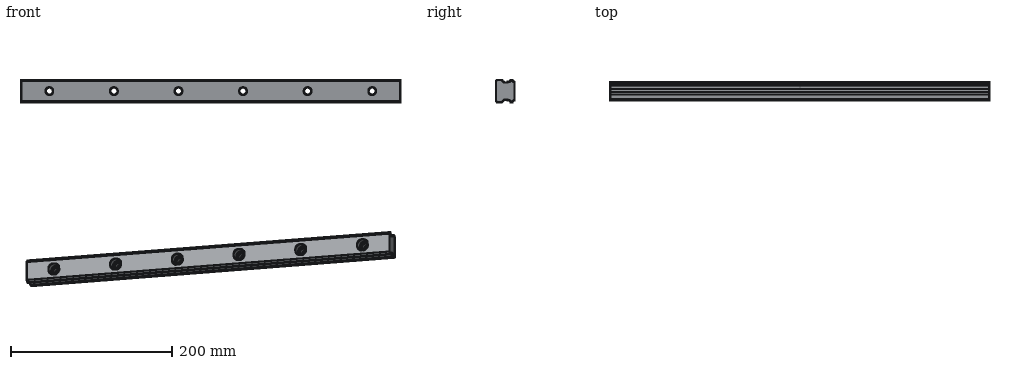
import cadquery as cq

length = 470.0
height = 23.0
width = 28.0

half_height = height / 2
half_width = width / 2

track_radius = 2.5
head_track_y = half_height
flank_track_y = 4.25

relief_depth = 3.2
relief_wall_y = 2.9
ramp_foot_y = -1.3
ramp_top_y = ramp_foot_y - relief_depth
base_chamfer = 1.5

hole_count = 6
hole_pitch = 80.0
hole_diameter = 9.0
counterbore_diameter = 14.0
counterbore_depth = 12.0


def make_blank():
    """Bar along X, centred on the origin, with chamfered base edges (-Y)."""
    bar = cq.Workplane("XY").box(length, height, width)
    return bar.faces("<Y").edges("|X").chamfer(base_chamfer)


def cut_ball_tracks(rail):
    """Cut the head-edge and flank ball tracks along both sides (+Z and -Z)."""
    centres = [(y, z) for y in (head_track_y, flank_track_y) for z in (half_width, -half_width)]
    tracks = cq.Workplane("YZ").pushPoints(centres).circle(track_radius).extrude(length, both=True)
    return rail.cut(tracks)


def cut_reliefs(rail):
    """Cut the relief between flank track and base along both sides."""
    floor_z = half_width - relief_depth
    relief_outline = [
        (relief_wall_y, half_width),
        (relief_wall_y, floor_z),
        (ramp_foot_y, floor_z),
        (ramp_top_y, half_width),
    ]
    relief = cq.Workplane("YZ").polyline(relief_outline).close().extrude(length, both=True)
    return rail.cut(relief).cut(relief.mirror("XY"))


def cut_mounting_holes(rail):
    """Cut a centred row of counterbored through holes along the rail."""
    head_face = cq.Workplane("XZ", origin=(0, half_height, 0))
    first_hole_x = -hole_pitch * (hole_count - 1) / 2
    centres = [(first_hole_x + i * hole_pitch, 0) for i in range(hole_count)]
    holes = head_face.pushPoints(centres).circle(hole_diameter / 2).extrude(height)
    counterbores = head_face.pushPoints(centres).circle(counterbore_diameter / 2).extrude(counterbore_depth)
    return rail.cut(holes).cut(counterbores)


blank = make_blank()
grooved_rail = cut_reliefs(cut_ball_tracks(blank))
result = cut_mounting_holes(grooved_rail)